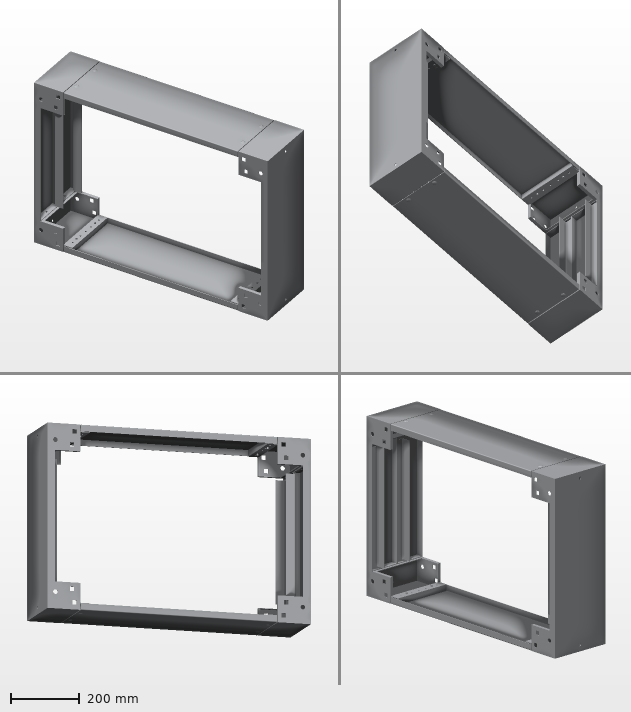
import cadquery as cq

length = 800.0
depth = 200.0
height = 550.0
sheet = 2.0

corner_length = 100.0
corner_height = 80.0
corner_rim = 10.0
corner_ledge = 31.0
round_hole_diameter = 14.0
round_hole_place = (24.0, 50.0)
square_hole_size = 13.0
square_hole_places = [(82.0, 22.0), (74.0, 61.0)]
end_hole_diameter = 9.0
end_hole_height = 20.0

tongue_length = 30.0
long_flange = 20.0
tongue_height = long_flange + sheet
tongue_clearance = 2.0
tongue_hole_spacing = 22.0

long_panel_gap = 2.0
long_panel_edge_radius = 2.0
long_panel_length = length - 2 * (corner_length + long_panel_gap)
screw_inset = 115.0
screw_offset = depth / 4
screw_diameter = 6.0
screw_length = 27.0
head_base_diameter = 15.0
head_top_diameter = 8.0
head_height = 2.0

side_panel_width = depth / 2
side_panel_height = height - 2 * corner_height
side_flange = 23.0
side_lip_width = 22.0
fin_reach = 52.0
fin_bend_radius = 5.0
fin_inset = 10.0
side_hole_diameter = 6.0
side_hole_inset = 12.0

left = -length / 2
front = -depth / 2
bottom = -height / 2


def block(x_range, y_range, z_range):
    """Box between the given limits."""
    sizes = [high - low for low, high in (x_range, y_range, z_range)]
    low_corner = cq.Vector(x_range[0], y_range[0], z_range[0])
    return cq.Workplane(cq.Solid.makeBox(*sizes, low_corner))


def upright_cylinder(x, y, z_low, z_high, diameter):
    """Cylinder along Z."""
    return cq.Workplane("XY", (x, y, z_low)).circle(diameter / 2).extrude(z_high - z_low)


def corner_shell():
    """Folded box, open towards the middle of the frame."""
    inner_end = left + corner_length
    inner_face = bottom + corner_height
    shell = block((left, inner_end), (front, -front), (bottom, inner_face))
    shell = shell.cut(
        block(
            (left + sheet, inner_end - sheet),
            (front + sheet, -front - sheet),
            (bottom + sheet, inner_face - sheet),
        )
    )
    rim_free = -front - corner_rim
    shell = shell.cut(
        block((left + corner_ledge, inner_end), (-rim_free, rim_free), (inner_face - sheet, inner_face))
    )
    return shell.cut(
        block((inner_end - sheet, inner_end), (-rim_free, rim_free), (bottom + tongue_height, inner_face))
    )


def corner_tongue():
    """Inverted trough that lies inside the long panel."""
    start = left + corner_length
    half_width = depth / 2 - sheet - tongue_clearance
    tongue = block(
        (start - sheet, start + tongue_length),
        (-half_width, half_width),
        (bottom + sheet, bottom + tongue_height),
    )
    return tongue.cut(
        block(
            (start, start + tongue_length - sheet),
            (-half_width, half_width),
            (bottom + sheet, bottom + tongue_height - sheet),
        )
    )


def corner_holes():
    """Cutters for the holes in the front and back plates, the end plate, the tongue and the ledge."""
    plates = cq.Workplane("XZ", (left, -front, bottom))
    cutters = plates.center(*round_hole_place).circle(round_hole_diameter / 2).extrude(depth)
    squares = plates.pushPoints(square_hole_places).rect(square_hole_size, square_hole_size).extrude(depth)
    end_hole = (
        cq.Workplane("YZ", (left, 0, bottom + end_hole_height)).circle(end_hole_diameter / 2).extrude(sheet)
    )
    cutters = cutters.union(squares).union(end_hole)

    tongue_ys = [0]
    for side in (-1, 1):
        tongue_ys += [side * screw_offset + step * tongue_hole_spacing for step in (-1, 0, 1)]
    tongue_top = bottom + tongue_height
    for y in tongue_ys:
        cutters = cutters.union(
            upright_cylinder(left + screw_inset, y, tongue_top - sheet, tongue_top, screw_diameter)
        )

    ledge_top = bottom + corner_height
    for y in (-side_panel_width / 2, side_panel_width / 2):
        cutters = cutters.union(
            upright_cylinder(left + side_hole_inset, y, ledge_top - sheet, ledge_top, side_hole_diameter)
        )
    return cutters


def make_corner():
    """Bottom left corner piece."""
    return corner_shell().union(corner_tongue()).cut(corner_holes())


def screw(x, y):
    """Screw with a tapered head below the bottom panel and a shank up through the tongue."""
    head = (
        cq.Workplane("XY", (x, y, bottom - head_height))
        .circle(head_top_diameter / 2)
        .workplane(offset=head_height)
        .circle(head_base_diameter / 2)
        .loft()
    )
    return head.union(upright_cylinder(x, y, bottom, bottom + screw_length, screw_diameter))


def make_long_panel():
    """Bottom panel: a channel with its four screws fixed in it."""
    half_length = long_panel_length / 2
    top = bottom + long_flange
    panel = block((-half_length, half_length), (front, -front), (bottom, top))
    panel = panel.edges("|X and <Z").fillet(long_panel_edge_radius)
    panel = panel.cut(
        block((-half_length, half_length), (front + sheet, -front - sheet), (bottom + sheet, top))
    )
    screw_x = length / 2 - screw_inset
    for x in (-screw_x, screw_x):
        for y in (-screw_offset, screw_offset):
            panel = panel.union(screw(x, y))
    return panel


def make_side_panel():
    """Front panel of the left pair: a tray with a stepped fin along its back flange."""
    back = front + side_panel_width
    low = -side_panel_height / 2
    flange_x = left + side_flange
    panel = block((left, flange_x), (front, back), (low, -low))
    panel = panel.cut(
        block((left + sheet, flange_x), (front + sheet, back - sheet), (low + sheet, -low - sheet))
    )
    fin_y = back - side_lip_width
    fin_z = (low + fin_inset, -low - fin_inset)
    fin_tip = left + fin_reach
    bend = "|Z and <X and <Y"
    fin = block((flange_x - sheet, fin_tip), (fin_y, back), fin_z).edges(bend).fillet(fin_bend_radius)
    fin_hollow = block((flange_x, fin_tip), (fin_y + sheet, back), fin_z)
    fin = fin.cut(fin_hollow.edges(bend).fillet(fin_bend_radius - sheet))
    holes = upright_cylinder(
        left + side_hole_inset, front + side_panel_width / 2, low, -low, side_hole_diameter
    )
    return panel.union(fin).cut(holes)


corner = make_corner()
left_corners = [corner, corner.mirror("XY")]
corners = left_corners + [piece.mirror("YZ") for piece in left_corners]

long_panel = make_long_panel()
long_panels = [long_panel, long_panel.mirror("XY")]

side_panel = make_side_panel()
left_side_panels = [side_panel.translate((0, index * side_panel_width, 0)) for index in range(2)]
side_panels = left_side_panels + [panel.mirror("YZ") for panel in left_side_panels]

bodies = corners + long_panels + side_panels
result = cq.Compound.makeCompound([body.solids().val() for body in bodies])